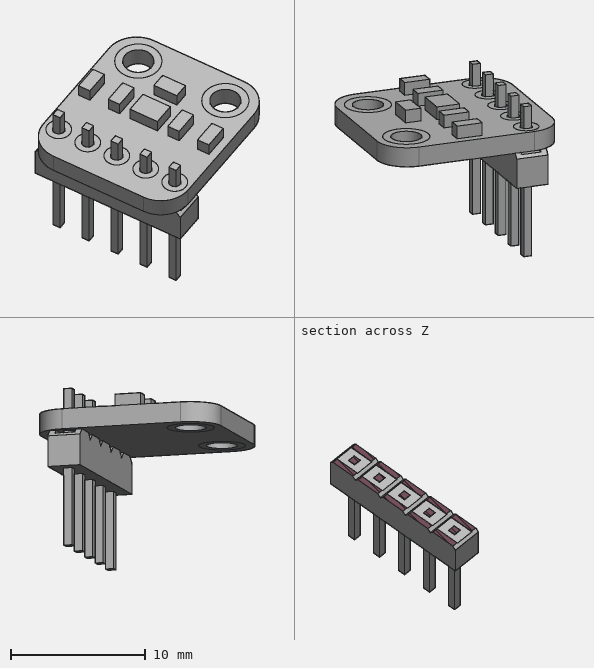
import cadquery as cq

board_width = 12.7
board_length = 14.0
board_thickness = 1.51
corner_radius = 2.4

pin_count = 5
pin_pitch = board_width / pin_count
pin_side = 0.63
pin_row_y = pin_pitch - board_length / 2
pin_rise = 1.7
pin_drop = 5.81
strip_depth = 2.5
strip_height = 2.79
notch_depth = 0.48
channel_width = 1.54
channel_depth = 0.25

pin_pad_diameter = 1.9
pin_hole_diameter = 0.92
mount_pad_diameter = 3.5
mount_hole_diameter = 2.31
mount_edge_distance = 2.4
mount_y = board_length / 2 - mount_edge_distance
mount_spacing = 3 * pin_pitch

part_height = 1.0
small_part_width = 1.0
small_part_length = 2.0
small_part_spacing = 2.6
part_row_front_y = -0.7
chip_width = 2.4
chip_length = 1.8
back_part_width = 2.0
back_part_length = 1.22
back_part_front_y = 2.31

pin_xs = [(i - (pin_count - 1) / 2) * pin_pitch for i in range(pin_count)]
pin_points = [(x, pin_row_y) for x in pin_xs]
mount_points = [(-mount_spacing / 2, mount_y), (mount_spacing / 2, mount_y)]


def surface_part(center_x, front_y, width, length):
    """Block that stands on top of the board."""
    return (
        cq.Workplane("XY", origin=(center_x, front_y, board_thickness))
        .box(width, length, part_height, centered=(True, False, False))
    )


def make_board():
    """Rounded board with openings for the pads, in one piece with the parts standing on it."""
    board = (
        cq.Workplane("XY")
        .box(board_width, board_length, board_thickness, centered=(True, True, False))
        .edges("|Z")
        .fillet(corner_radius)
    )
    for points, diameter in ((pin_points, pin_pad_diameter), (mount_points, mount_pad_diameter)):
        openings = cq.Workplane("XY").pushPoints(points).circle(diameter / 2).extrude(board_thickness)
        board = board.cut(openings)

    for step in (-2, -1, 1, 2):
        small_part = surface_part(
            step * small_part_spacing, part_row_front_y, small_part_width, small_part_length
        )
        board = board.union(small_part)
    board = board.union(surface_part(0, part_row_front_y, chip_width, chip_length))
    return board.union(surface_part(0, back_part_front_y, back_part_width, back_part_length))


def make_pad(center, outer_diameter, hole_diameter):
    """Ring that fills a board opening and leaves a through hole."""
    return (
        cq.Workplane("XY")
        .center(*center)
        .circle(outer_diameter / 2)
        .circle(hole_diameter / 2)
        .extrude(board_thickness)
    )


def make_header():
    """Strip with V notches and a top channel, in one piece with its pins."""
    header = (
        cq.Workplane("XY", origin=(0, pin_row_y, -strip_height))
        .box(board_width, strip_depth, strip_height, centered=(True, True, False))
    )

    for i in range(pin_count + 1):
        notch_x = i * pin_pitch - board_width / 2
        notch = (
            cq.Workplane("XZ", origin=(notch_x, pin_row_y, 0))
            .polyline([(-notch_depth, 0), (notch_depth, 0), (0, -notch_depth)])
            .close()
            .extrude(strip_depth / 2, both=True)
        )
        header = header.cut(notch)

    channel = (
        cq.Workplane("XY", origin=(0, pin_row_y, -channel_depth))
        .box(board_width, channel_width, channel_depth, centered=(True, True, False))
    )
    header = header.cut(channel)

    pin_bottom_z = -strip_height - pin_drop
    pin_length = pin_drop + strip_height + board_thickness + pin_rise
    pins = (
        cq.Workplane("XY", origin=(0, 0, pin_bottom_z))
        .pushPoints(pin_points)
        .rect(pin_side, pin_side)
        .extrude(pin_length)
    )
    return header.union(pins)


board = make_board()
header = make_header()
pin_pads = [make_pad(point, pin_pad_diameter, pin_hole_diameter) for point in pin_points]
mount_pads = [make_pad(point, mount_pad_diameter, mount_hole_diameter) for point in mount_points]

result = cq.Compound.makeCompound(
    [board.solids().val(), header.solids().val(), *[pad.val() for pad in pin_pads + mount_pads]]
)